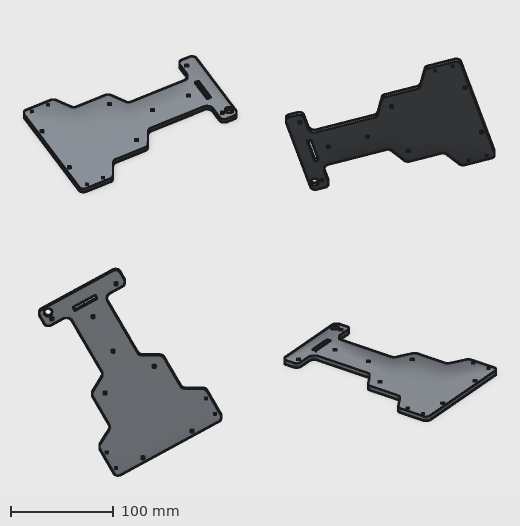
import cadquery as cq
import math

thickness = 5.0
total_length = 183.36
base_half_width = 60.0
middle_half_width = 40.0
neck_half_width = 20.0
head_half_width = 45.0
gusset_half_width = 25.0
base_side_length = 35.0
middle_top_y = 85.0
head_bottom_y = 165.0
shoulder_angle = math.radians(30)
corner_radius = 5.0

screw_diameter = 3.0
body_screw_x = 27.5
body_screw_first_y = 4.5
body_screw_spacing_y = 75.0
neck_screw_first_y = 112.5
neck_screw_spacing_y = 40.0
head_hole_x = 36.0
head_screw_y = 170.36

side_hole_diameter = 2.0
side_hole_x = 55.5
side_hole_spacing_y = 18.0

large_hole_diameter = 8.0
large_hole_y = 177.75

slot_width = 25.0
slot_height = 4.0
slot_y = 168.36


def shoulder_rise(outer_half_width, inner_half_width):
    return (outer_half_width - inner_half_width) * math.tan(shoulder_angle)


def make_plate():
    middle_bottom_y = base_side_length + shoulder_rise(base_half_width, middle_half_width)
    neck_bottom_y = middle_top_y + shoulder_rise(middle_half_width, neck_half_width)
    neck_top_y = head_bottom_y - shoulder_rise(gusset_half_width, neck_half_width)
    right_side = [
        (base_half_width, 0),
        (base_half_width, base_side_length),
        (middle_half_width, middle_bottom_y),
        (middle_half_width, middle_top_y),
        (neck_half_width, neck_bottom_y),
        (neck_half_width, neck_top_y),
        (gusset_half_width, head_bottom_y),
        (head_half_width, head_bottom_y),
        (head_half_width, total_length),
    ]
    left_side = [(-x, y) for x, y in reversed(right_side)]
    outline = cq.Workplane("XY").polyline(right_side + left_side).close()
    return outline.extrude(thickness).edges("|Z").fillet(corner_radius)


def mirrored_pairs(x, y_values):
    return [(side * x, y) for y in y_values for side in (-1, 1)]


def through_holes(diameter, centers):
    return cq.Workplane("XY").pushPoints(centers).circle(diameter / 2).extrude(thickness)


def screw_holes():
    body_rows = [body_screw_first_y, body_screw_first_y + body_screw_spacing_y]
    neck_rows = [neck_screw_first_y, neck_screw_first_y + neck_screw_spacing_y]
    centers = mirrored_pairs(body_screw_x, body_rows)
    centers += [(0, y) for y in neck_rows]
    centers += mirrored_pairs(head_hole_x, [head_screw_y])
    return through_holes(screw_diameter, centers)


def side_holes():
    middle_y = base_side_length / 2
    rows = [middle_y - side_hole_spacing_y / 2, middle_y + side_hole_spacing_y / 2]
    return through_holes(side_hole_diameter, mirrored_pairs(side_hole_x, rows))


def large_hole():
    return through_holes(large_hole_diameter, [(head_hole_x, large_hole_y)])


def slot():
    return cq.Workplane("XY").center(0, slot_y).rect(slot_width, slot_height).extrude(thickness)


result = make_plate()
for cutter in (screw_holes(), side_holes(), large_hole(), slot()):
    result = result.cut(cutter)